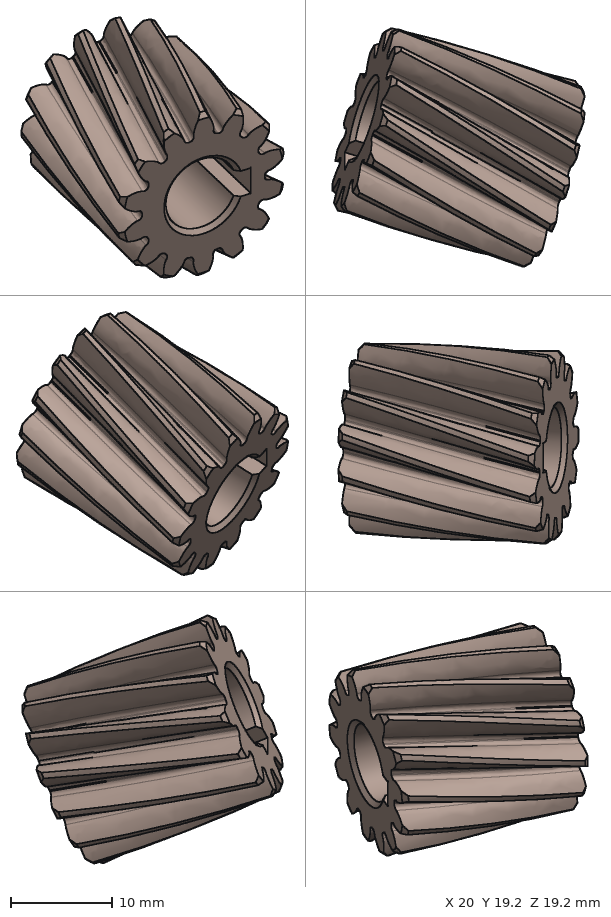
import cadquery as cq
import math

face_width = 20.0
tip_radius = 9.58
tip_chamfer = 0.5

tooth_count = 14
base_radius = 7.55
base_half_space = math.radians(4.2)
root_radius = 7.0
root_half_land = math.radians(0.5)
twist = 35.0
first_tooth_angle = 3.4
cutter_clearance = 0.2
flank_points = 8

bore_radius = 4.0
bore_chamfer = 0.5
key_width = 3.0
key_floor = 5.4

tooth_pitch = 360.0 / tooth_count


def polar(radius, angle):
    return (radius * math.cos(angle), radius * math.sin(angle))


def flank(side):
    """Points up one involute flank; side is +1 or -1 about the space centreline."""
    end_radius = tip_radius + cutter_clearance
    end_roll = math.sqrt((end_radius / base_radius) ** 2 - 1)
    points = []
    for i in range(flank_points + 1):
        roll = end_roll * i / flank_points
        radius = base_radius * math.sqrt(1 + roll**2)
        involute = roll - math.atan(roll)
        points.append(polar(radius, side * (base_half_space + involute)))
    return points


def root_fillet_middle(side):
    """Point near the middle of the fillet that runs from the root circle to the flank's foot."""
    rise, run = polar(base_radius, base_half_space - root_half_land)
    rise -= root_radius
    fillet_radius = (rise**2 + run**2) / (2 * rise)
    middle_turn = 3 * math.pi / 4
    centre_y, centre_z = polar(root_radius + fillet_radius, side * root_half_land)
    offset_y, offset_z = polar(fillet_radius, side * (root_half_land + middle_turn))
    return (centre_y + offset_y, centre_z + offset_z)


def tooth_space():
    """Twisted cutter for one tooth space, centred on +Y at the x = 0 end."""
    lower = flank(-1)
    upper = flank(1)
    upper_fillet = root_fillet_middle(1)
    lower_fillet = root_fillet_middle(-1)
    profile = (
        cq.Workplane("YZ")
        .moveTo(*upper[-1])
        .spline(upper[-2::-1], includeCurrent=True)
        .threePointArc(upper_fillet, polar(root_radius, root_half_land))
        .threePointArc((root_radius, 0), polar(root_radius, -root_half_land))
        .threePointArc(lower_fillet, lower[0])
        .spline(lower[1:], includeCurrent=True)
        .threePointArc((tip_radius + cutter_clearance, 0), upper[-1])
        .close()
    )
    return profile.twistExtrude(face_width, twist)


def chamfered_blank():
    blank = cq.Workplane("YZ").circle(tip_radius).extrude(face_width)
    return blank.edges("%CIRCLE").chamfer(tip_chamfer)


def bore():
    """Round bore with a countersink at each end."""
    mouth_radius = bore_radius + bore_chamfer
    half_section = [
        (0, 0),
        (0, mouth_radius),
        (bore_chamfer, bore_radius),
        (face_width - bore_chamfer, bore_radius),
        (face_width, mouth_radius),
        (face_width, 0),
    ]
    return cq.Workplane("XY").polyline(half_section).close().revolve(360, (0, 0), (1, 0))


def keyway():
    return cq.Workplane("XY").box(face_width, key_floor, key_width, centered=(False, False, True))


result = chamfered_blank().cut(bore()).cut(keyway())

space_cutter = tooth_space()
for tooth in range(tooth_count):
    space_angle = first_tooth_angle + (tooth + 0.5) * tooth_pitch
    result = result.cut(space_cutter.rotate((0, 0, 0), (1, 0, 0), space_angle))